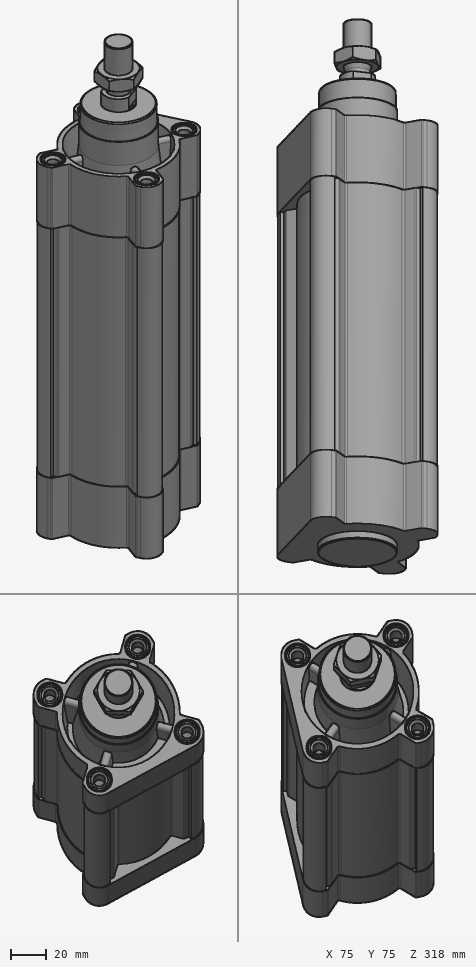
import cadquery as cq
import math

total_height = 318
lower_cover_bottom = 4.5
cover_height = 40.5
upper_cover_bottom = 209.5
upper_cover_top = upper_cover_bottom + cover_height
lower_cover_top = lower_cover_bottom + cover_height
collar_top = 265.3
bearing_top = 277.5
flats_bottom = 278.5
rod_shoulder = 286.0
neck_top = 289.0
nut_bottom = 292.0

cover_half_width = 37.5
cover_body_radius = 34.5
cover_lobe_radius = 9.2
barrel_body_radius = 34.0
barrel_lobe_radius = 9.0
lobe_center = cover_half_width - cover_lobe_radius
cover_flank_offset = 12.0
barrel_flank_offset = 12.5
flank_fillet = 1.3
barrel_land_half_width = 35
barrel_step_outer = 26.0
barrel_step_inner = 25.5

collar_radius = 22.43
collar_chamfer = 0.5
bearing_radius = 21.8
bearing_top_radius = 21.5
bearing_chamfer = 0.8
pocket_radius = 31.5
pocket_depth = 31.8
port_side_pocket_depth = 17.5
draft = math.tan(math.radians(5))
collar_draft = math.tan(math.radians(6))

rib_radius = 2.4
rib_drop = 2.0

counterbore_rim_diameter = 14.3
counterbore_diameter = 14.0
counterbore_depth = 3.2
screw_head_drop = 0.5
screw_head_diameter = 13.0
screw_head_edge_diameter = 12.0
screw_countersink_diameter = 10.0
screw_thread_diameter = 8.0
screw_core_diameter = 6.7
screw_hole_depth = 12.7
screw_edge = 0.48
drill_half_angle = math.radians(59)

rod_diameter = 20.0
rod_flat_width = 17.0
thread_diameter = 16
thread_tip_diameter = 15.0
neck_diameter = 14.0
nut_width = 24.0
nut_height = 8.3
nut_chamfer = 1.0


def lobed_prism(body_radius, lobe_radius, half_width, flank_offset, shoulder, bottom, height):
    """Round body with four corner lobes that have round tips and 45 degree flanks.

    The land beside each flank lies at half_width, and the shoulder points lead from the
    round tip to that land; each is (distance along the land, distance from the axis).
    """
    near = (math.sqrt(2 * body_radius**2 - flank_offset**2) - flank_offset) / 2
    side = [(near, near + flank_offset), (half_width - flank_offset, half_width), *shoulder]
    mirrored_side = [(y, x) for x, y in side]
    tip = lobe_center + lobe_radius / math.sqrt(2)
    lobe = (
        cq.Workplane("XY")
        .workplane(offset=bottom)
        .polyline([(0, 0), *mirrored_side])
        .threePointArc((tip, tip), side[-1])
        .polyline([*reversed(side), (0, 0)])
        .close()
        .extrude(height)
    )

    def on_flank_edge(edge):
        center = edge.Center()
        return math.isclose(abs(abs(center.x) - abs(center.y)), flank_offset, abs_tol=0.0003)

    prism = cq.Workplane("XY").workplane(offset=bottom).circle(body_radius).extrude(height)
    for corner in range(4):
        prism = prism.union(lobe.rotate((0, 0, 0), (0, 0, 1), 90 * corner))
    return prism.edges("|Z").filter(on_flank_edge).fillet(flank_fillet)


def barrel():
    """Profile tube whose round lobe tips stand out from the lands beside them."""
    tip_reach = lobe_center + math.sqrt(barrel_lobe_radius**2 - (lobe_center - barrel_step_outer) ** 2)
    shoulder = [(barrel_step_inner, barrel_land_half_width), (barrel_step_outer, tip_reach)]
    return lobed_prism(
        barrel_body_radius,
        barrel_lobe_radius,
        barrel_land_half_width,
        barrel_flank_offset,
        shoulder,
        lower_cover_top,
        upper_cover_bottom - lower_cover_top,
    )


def cover(bottom):
    """End cover: the lobed outline, filled between the two lobes on the +Y side."""
    lobed = lobed_prism(
        cover_body_radius,
        cover_lobe_radius,
        cover_half_width,
        cover_flank_offset,
        [(lobe_center, cover_half_width)],
        bottom,
        cover_height,
    )
    port_block = (
        cq.Workplane("XY")
        .box(2 * lobe_center, cover_half_width, cover_height, centered=(True, False, False))
        .translate((0, 0, bottom))
    )
    return lobed.union(port_block)


def annular_pocket():
    """Pocket with drafted walls around the collar, open at the top of the upper cover."""
    floor = upper_cover_top - pocket_depth
    return (
        cq.Workplane("XZ")
        .moveTo(collar_radius, upper_cover_top)
        .lineTo(pocket_radius, upper_cover_top)
        .lineTo(pocket_radius - pocket_depth * draft, floor)
        .lineTo(collar_radius + pocket_depth * collar_draft, floor)
        .close()
        .revolve(360, (0, 0, 0), (0, 1, 0))
    )


def port_side_step():
    """Wedge between the two diagonals on the +Y side that raises the pocket floor there."""
    reach = cover_half_width
    return (
        cq.Workplane("XY")
        .workplane(offset=upper_cover_bottom)
        .polyline([(0, 0), (reach, reach), (-reach, reach)])
        .close()
        .extrude(cover_height - port_side_pocket_depth)
    )


def diagonal_ribs():
    """Two crossed bars with a round top and drafted sides, along both diagonals."""
    spring = upper_cover_top - rib_drop - rib_radius
    floor = upper_cover_top - pocket_depth
    foot = rib_radius + (spring - floor) * draft
    bar = (
        cq.Workplane("XZ")
        .moveTo(-foot, floor)
        .lineTo(-rib_radius, spring)
        .threePointArc((0, spring + rib_radius), (rib_radius, spring))
        .lineTo(foot, floor)
        .close()
        .extrude(pocket_radius, both=True)
    )
    axis = ((0, 0, 0), (0, 0, 1))
    return bar.rotate(*axis, 45).union(bar.rotate(*axis, -45))


def collar_and_bearing():
    """Collar through the whole length with the slightly tapered bearing ring on top."""
    return (
        cq.Workplane("XZ")
        .moveTo(0, 0)
        .lineTo(collar_radius - collar_chamfer, 0)
        .lineTo(collar_radius, collar_chamfer)
        .lineTo(collar_radius, collar_top)
        .lineTo(bearing_radius, collar_top)
        .lineTo(bearing_top_radius, bearing_top - bearing_chamfer)
        .lineTo(bearing_top_radius - bearing_chamfer, bearing_top)
        .lineTo(0, bearing_top)
        .close()
        .revolve(360, (0, 0, 0), (0, 1, 0))
    )


def screw_recess():
    """Counterbore around a sunk screw head, with a threaded hole that ends in a drill point."""
    rim_chamfer = (counterbore_rim_diameter - counterbore_diameter) / 2
    gap_floor = upper_cover_top - counterbore_depth
    head_top = upper_cover_top - screw_head_drop
    hole_bottom = head_top - screw_hole_depth
    core_radius = screw_core_diameter / 2
    countersink_depth = (screw_countersink_diameter - screw_thread_diameter) / 2
    thread_start = head_top - countersink_depth
    thread_runout = thread_start - (screw_thread_diameter - screw_core_diameter) / 2
    return (
        cq.Workplane("XZ")
        .moveTo(0, upper_cover_top)
        .lineTo(counterbore_rim_diameter / 2, upper_cover_top)
        .lineTo(counterbore_diameter / 2, upper_cover_top - rim_chamfer)
        .lineTo(counterbore_diameter / 2, gap_floor)
        .lineTo(screw_head_diameter / 2, gap_floor)
        .lineTo(screw_head_diameter / 2, head_top - screw_edge)
        .lineTo(screw_head_edge_diameter / 2, head_top)
        .lineTo(screw_countersink_diameter / 2, head_top)
        .lineTo(screw_thread_diameter / 2, thread_start)
        .lineTo(core_radius, thread_runout)
        .lineTo(core_radius, hole_bottom)
        .lineTo(0, hole_bottom - core_radius / math.tan(drill_half_angle))
        .close()
        .revolve(360, (0, 0, 0), (0, 1, 0))
    )


def make_housing():
    recess = annular_pocket().cut(diagonal_ribs()).cut(port_side_step())
    upper_cover = cover(upper_cover_bottom).cut(recess)
    for x in (-lobe_center, lobe_center):
        for y in (-lobe_center, lobe_center):
            upper_cover = upper_cover.cut(screw_recess().translate((x, y, 0)))
    rod_bore = (
        cq.Workplane("XY")
        .workplane(offset=upper_cover_bottom)
        .circle(rod_diameter / 2)
        .extrude(bearing_top - upper_cover_bottom)
    )
    housing = barrel().union(cover(lower_cover_bottom)).union(upper_cover)
    return housing.union(collar_and_bearing()).cut(rod_bore)


def make_rod():
    thread_radius = thread_diameter / 2
    neck_radius = neck_diameter / 2
    tip_radius = thread_tip_diameter / 2
    rod = (
        cq.Workplane("XZ")
        .moveTo(0, upper_cover_bottom)
        .lineTo(rod_diameter / 2, upper_cover_bottom)
        .lineTo(rod_diameter / 2, rod_shoulder)
        .lineTo(neck_radius, rod_shoulder)
        .lineTo(neck_radius, neck_top)
        .lineTo(thread_radius, nut_bottom)
        .lineTo(thread_radius, total_height - (thread_radius - tip_radius))
        .lineTo(tip_radius, total_height)
        .lineTo(0, total_height)
        .close()
        .revolve(360, (0, 0, 0), (0, 1, 0))
    )
    flat_depth = (rod_diameter - rod_flat_width) / 2
    for side in (-1, 1):
        flat = cq.Workplane("XY").box(
            flat_depth, rod_diameter, rod_shoulder - flats_bottom, centered=(True, True, False)
        )
        rod = rod.cut(flat.translate((side * (rod_flat_width + flat_depth) / 2, 0, flats_bottom)))
    return rod


def make_nut():
    corner_diameter = nut_width / math.cos(math.radians(30))
    hexagon = cq.Workplane("XY").polygon(6, corner_diameter).extrude(nut_height)
    hexagon = hexagon.rotate((0, 0, 0), (0, 0, 1), 30)
    chamfered_disc = (
        cq.Workplane("XY")
        .circle(corner_diameter / 2)
        .extrude(nut_height)
        .edges()
        .chamfer(nut_chamfer, 2 * nut_chamfer)
    )
    hole = cq.Workplane("XY").circle(thread_diameter / 2).extrude(nut_height)
    return hexagon.intersect(chamfered_disc).cut(hole).translate((0, 0, nut_bottom))


housing = make_housing()
piston_rod = make_rod()
rod_nut = make_nut()

result = cq.Compound.makeCompound([housing.val(), piston_rod.val(), rod_nut.val()])